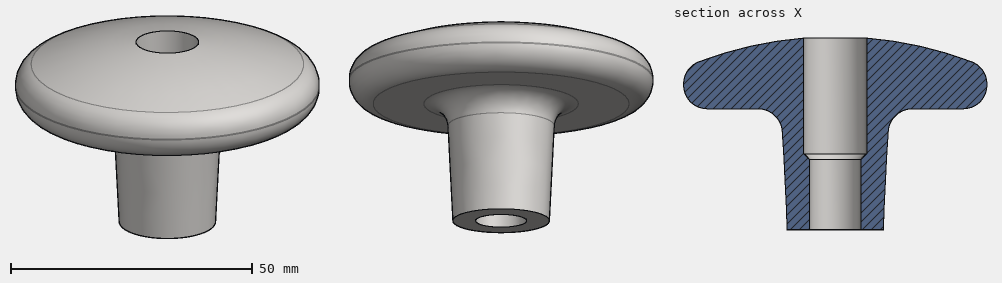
import cadquery as cq
import math

head_radius = 31.5
bore_edge_height = 39.75
stem_end_radius = 10.0
stem_top_radius = 11.0
stem_top_height = 20.3

rim_radius = 5.0
underside_height = 25.0
rim_band_height = 0.2
rim_center_radius = head_radius - rim_radius
lower_rim_height = underside_height + rim_radius
upper_rim_height = lower_rim_height + rim_band_height
dome_edge_radius = 28.2

lower_rim_mid_offset = rim_radius * math.sqrt(0.5)
lower_rim_mid = (rim_center_radius + lower_rim_mid_offset, lower_rim_height - lower_rim_mid_offset)

blend_radius = 5.0

bore_top_radius = 6.5
bore_end_radius = 5.3
shoulder_end_height = 14.55
shoulder_start_height = shoulder_end_height + bore_top_radius - bore_end_radius

dome_edge_angle = math.acos((dome_edge_radius - rim_center_radius) / rim_radius)
dome_edge_height = upper_rim_height + rim_radius * math.sin(dome_edge_angle)
upper_rim_mid = (
    rim_center_radius + rim_radius * math.cos(dome_edge_angle / 2),
    upper_rim_height + rim_radius * math.sin(dome_edge_angle / 2),
)

dome_center_height = (
    bore_edge_height**2 + bore_top_radius**2 - dome_edge_height**2 - dome_edge_radius**2
) / (2 * (bore_edge_height - dome_edge_height))
dome_radius = math.hypot(bore_top_radius, bore_edge_height - dome_center_height)
dome_mid_radius = (bore_top_radius + dome_edge_radius) / 2
dome_mid_height = dome_center_height + math.sqrt(dome_radius**2 - dome_mid_radius**2)

stem_taper = math.atan((stem_top_radius - stem_end_radius) / stem_top_height)
blend_center_height = underside_height - blend_radius
blend_start_height = blend_center_height + blend_radius * math.sin(stem_taper)
blend_start_radius = stem_end_radius + blend_start_height * math.tan(stem_taper)
blend_center_radius = blend_start_radius + blend_radius * math.cos(stem_taper)
blend_mid_angle = (math.pi - stem_taper + math.pi / 2) / 2
blend_mid = (
    blend_center_radius + blend_radius * math.cos(blend_mid_angle),
    blend_center_height + blend_radius * math.sin(blend_mid_angle),
)

profile = (
    cq.Workplane("XZ")
    .moveTo(bore_end_radius, 0)
    .lineTo(stem_end_radius, 0)
    .lineTo(blend_start_radius, blend_start_height)
    .threePointArc(blend_mid, (blend_center_radius, underside_height))
    .lineTo(rim_center_radius, underside_height)
    .threePointArc(lower_rim_mid, (head_radius, lower_rim_height))
    .lineTo(head_radius, upper_rim_height)
    .threePointArc(upper_rim_mid, (dome_edge_radius, dome_edge_height))
    .threePointArc((dome_mid_radius, dome_mid_height), (bore_top_radius, bore_edge_height))
    .lineTo(bore_top_radius, shoulder_start_height)
    .lineTo(bore_end_radius, shoulder_end_height)
    .close()
)
result = profile.revolve(360, (0, 0, 0), (0, 1, 0))